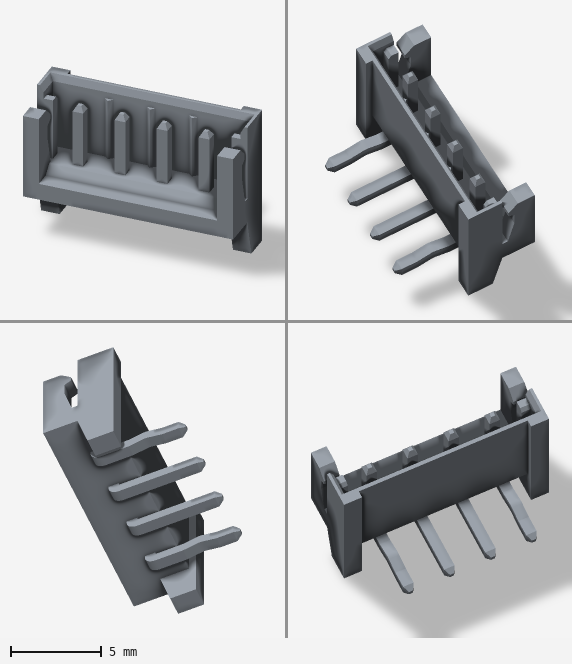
import cadquery as cq
import math

width = 12.5
height = 6.0
depth = 4.2
shroud_depth = 2.15

side_wall = 0.4
rear_wall = 0.82
floor_height = 1.5
lead_in_height = 0.4
side_lead_in = 0.22
rear_lead_in = 0.19

arm_width = 0.95
arm_height = 5.1
lip_height = 1.0
lip_back = 3.2
lip_slope_run = floor_height - lip_height
arm_root = 2.5
arm_inner = 2.91
arm_taper_top = 3.14
hook_inner = 2.54
hook_bottom = 4.01
hook_nose_bottom = 4.22
hook_nose_top = 4.55
hook_top_inner = 3.14

ear_width = 1.1
ear_depth = 0.41
leg_length = 2.3
leg_tip_depth = 1.55

rib_height = 5.2
key_rib_width = 0.5
key_rib_depth = 0.22
end_rib_back = 1.5
end_rib_chamfer = 0.2

pin_count = 4
pin_pitch = 2.5
pin_size = 0.64
pin_depth = 2.0
pin_top = rib_height
tail_center = -0.48
tail_end = 3.3
tip_length = 0.34
tip_size = 0.25

kink_center = 0.98
kink_reach = 1.0
crest_half = 0.15
kink_angle = math.radians(12)

inner_half = width / 2 - side_wall
pin_xs = [(i - (pin_count - 1) / 2) * pin_pitch for i in range(pin_count)]
rib_xs = [(a + b) / 2 for a, b in zip(pin_xs, pin_xs[1:])]


def box(x0, x1, y0, y1, z0, z1):
    """Axis-aligned box between two opposite corners."""
    return cq.Workplane("XY").box(x1 - x0, y1 - y0, z1 - z0, centered=False).translate((x0, y0, z0))


def side_profile(points, x0, x1):
    """Solid with a (Y, Z) outline, running from x0 to x1."""
    return cq.Workplane("YZ").polyline(points).close().extrude(x1 - x0).translate((x0, 0, 0))


def make_body():
    """Outer block: shroud, legs and latch arms in one side outline."""
    points = [
        (0, -leg_length),
        (0, height),
        (-shroud_depth, height),
        (-shroud_depth, floor_height),
        (-arm_root, floor_height),
        (-arm_inner, arm_taper_top),
        (-arm_inner, hook_bottom),
        (-hook_inner, hook_nose_bottom),
        (-hook_inner, hook_nose_top),
        (-hook_top_inner, arm_height),
        (-depth, arm_height),
        (-depth, 0),
        (-shroud_depth, 0),
        (-leg_tip_depth, -leg_length),
    ]
    return side_profile(points, -width / 2, width / 2)


def make_rear_recess():
    """Clearance between the ears at the back and between the legs below the floor."""
    half = width / 2 - ear_width
    back = box(-half, half, -ear_depth, 0, -leg_length, height)
    below = box(-half, half, -depth, 0, -leg_length, 0)
    return back.union(below)


def make_cavity():
    """Space behind the shroud front, widened upwards by the lead-in at its back and sides."""
    room = box(-inner_half, inner_half, -shroud_depth, -rear_wall, floor_height, height)
    slope_start = height - lead_in_height
    top_half = inner_half + side_lead_in
    lead_in = (
        cq.Workplane("XY", origin=(0, -depth, slope_start))
        .center(0, (depth - rear_wall) / 2)
        .rect(2 * inner_half, depth - rear_wall)
        .workplane(offset=lead_in_height)
        .center(0, rear_lead_in / 2)
        .rect(2 * top_half, depth - rear_wall + rear_lead_in)
        .loft(ruled=True)
    )
    return room.union(lead_in)


def make_front_window():
    """Opening between the latch arms, down to the sloped front lip."""
    half = width / 2 - arm_width
    points = [
        (-shroud_depth, height),
        (-shroud_depth, floor_height),
        (-lip_back + lip_slope_run, floor_height),
        (-lip_back, lip_height),
        (-depth, lip_height),
        (-depth, height),
    ]
    return side_profile(points, -half, half)


def make_key_rib(x):
    """Triangular rib on the rear wall."""
    return (
        cq.Workplane("XY", origin=(x, -rear_wall, floor_height))
        .polyline([(-key_rib_width / 2, 0), (key_rib_width / 2, 0), (0, -key_rib_depth)])
        .close()
        .extrude(rib_height - floor_height)
    )


def make_end_rib(x0, x1):
    """Rib on an end wall, chamfered along its rear top edge."""
    points = [
        (-shroud_depth, floor_height),
        (-shroud_depth, rib_height),
        (-end_rib_back - end_rib_chamfer, rib_height),
        (-end_rib_back, rib_height - end_rib_chamfer),
        (-end_rib_back, floor_height),
    ]
    return side_profile(points, x0, x1)


def make_pin_hole(x):
    """Square hole through the floor that a pin fills."""
    half = pin_size / 2
    return box(x - half, x + half, -pin_depth - half, -pin_depth + half, 0, floor_height)


def make_housing():
    housing = make_body().cut(make_rear_recess()).cut(make_cavity()).cut(make_front_window())
    rib_inner = width / 2 - arm_width
    housing = housing.union(make_end_rib(-inner_half, -rib_inner))
    housing = housing.union(make_end_rib(rib_inner, inner_half))
    for x in rib_xs:
        housing = housing.union(make_key_rib(x))
    for x in pin_xs:
        housing = housing.cut(make_pin_hole(x))
    return housing


def make_tip(plane):
    """Tapered square pin end, starting at the origin of a plane facing out of the pin."""
    return (
        cq.Workplane(plane)
        .rect(pin_size, pin_size)
        .workplane(offset=tip_length)
        .rect(tip_size, tip_size)
        .loft(ruled=True)
    )


def add_kink(path, edge, direction):
    """Extend a tail edge at height `edge` over the kink, towards +Y (1) or -Y (-1)."""
    shoulder = edge + (kink_reach - crest_half) * math.tan(kink_angle)
    crest = shoulder + crest_half * math.tan(kink_angle / 2)
    return (
        path.lineTo(kink_center - direction * kink_reach, edge)
        .lineTo(kink_center - direction * crest_half, shoulder)
        .threePointArc((kink_center, crest), (kink_center + direction * crest_half, shoulder))
        .lineTo(kink_center + direction * kink_reach, edge)
    )


def make_pin(x, kinked):
    """Pin with an upright post, a bend rounded on the outside, and a tail towards +Y."""
    half = pin_size / 2
    front = -pin_depth - half
    back = -pin_depth + half
    tail_top = tail_center + half
    tail_bottom = tail_center - half
    post_end = pin_top - tip_length
    straight_end = tail_end - tip_length
    bend_offset = pin_size * math.sqrt(0.5)

    path = cq.Workplane("YZ").moveTo(front, post_end).lineTo(front, tail_top)
    path = path.threePointArc((back - bend_offset, tail_top - bend_offset), (back, tail_bottom))
    if kinked:
        path = add_kink(path, tail_bottom, 1)
    path = path.lineTo(straight_end, tail_bottom).lineTo(straight_end, tail_top)
    if kinked:
        path = add_kink(path, tail_top, -1)
    shank = path.lineTo(back, tail_top).lineTo(back, post_end).close().extrude(half, both=True)

    post_tip = make_tip(cq.Plane((0, -pin_depth, post_end), (1, 0, 0), (0, 0, 1)))
    tail_tip = make_tip(cq.Plane((0, straight_end, tail_center), (1, 0, 0), (0, 1, 0)))
    return shank.union(post_tip).union(tail_tip).translate((x, 0, 0))


housing = make_housing()

pins = []
for x in pin_xs:
    is_outer = x in (pin_xs[0], pin_xs[-1])
    pins.append(make_pin(x, is_outer).val())

result = cq.Compound.makeCompound([housing.val(), *pins])